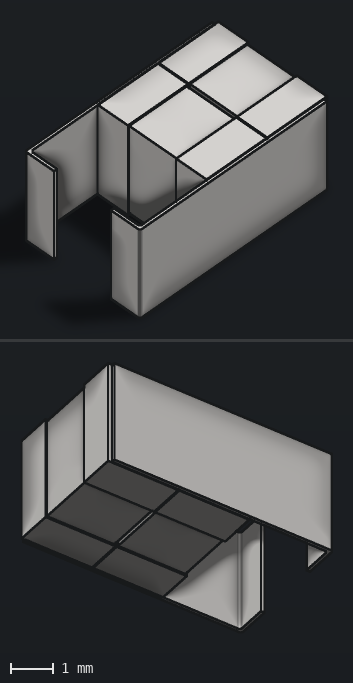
import cadquery as cq

OVERALL_X = 3.8
OVERALL_Y = 6.3
OVERALL_Z = 2.9

SHEET = 0.1
LEAD_HEIGHT = 2.86
FOOT_LENGTH = 0.96
BEND_RADIUS = 0.07
LEAD_SETBACK = 0.11

CHIP_COUNT = 2
CHIP_LENGTH = OVERALL_X - 2 * SHEET
CHIP_WIDTH = 1.985
CHIP_GAP = 0.0265
CAP_LENGTH = 1.0
CAP_RAISE = 0.04

WALL_END_Y = OVERALL_Y - LEAD_SETBACK
CHIP_PITCH = CHIP_WIDTH + CHIP_GAP


def make_lead(side):
    """L-shaped strip with its foot turned inward; side is -1 for left, +1 for right."""
    outer_x = side * OVERALL_X / 2
    inner_x = outer_x - side * SHEET
    tip_x = outer_x - side * FOOT_LENGTH
    profile = [
        (outer_x, WALL_END_Y),
        (outer_x, 0),
        (tip_x, 0),
        (tip_x, SHEET),
        (inner_x, SHEET),
        (inner_x, WALL_END_Y),
    ]
    bottom_plane = cq.Workplane("XY").workplane(offset=-LEAD_HEIGHT / 2)
    strip = bottom_plane.polyline(profile).close().extrude(LEAD_HEIGHT)
    for corner in ((outer_x, 0, 0), (inner_x, SHEET, 0)):
        strip = strip.edges(cq.selectors.NearestToPointSelector(corner)).fillet(BEND_RADIUS)
    return strip


def make_chip(center_y):
    """Ceramic block joined to its two end terminations, centred on X and Z."""
    chip = cq.Workplane("XY").box(CHIP_LENGTH, CHIP_WIDTH - 2 * CAP_RAISE, OVERALL_Z - 2 * CAP_RAISE)
    cap_center_x = (CHIP_LENGTH - CAP_LENGTH) / 2
    for side in (-1, 1):
        cap = cq.Workplane("XY").box(CAP_LENGTH, CHIP_WIDTH, OVERALL_Z)
        chip = chip.union(cap.translate((side * cap_center_x, 0, 0)))
    return chip.translate((0, center_y, 0))


leads = [make_lead(side) for side in (-1, 1)]

rear_chip_y = OVERALL_Y - CHIP_WIDTH / 2
chips = [make_chip(rear_chip_y - index * CHIP_PITCH) for index in range(CHIP_COUNT)]

result = cq.Compound.makeCompound([body.val() for body in leads + chips])